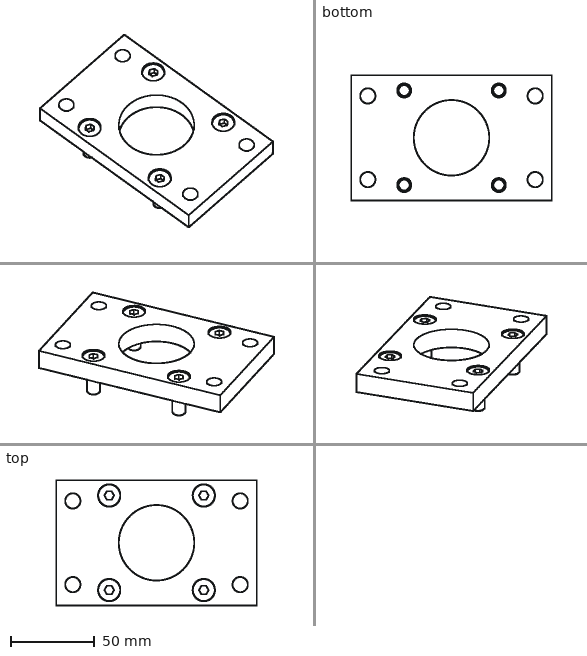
import cadquery as cq
import math

plate_length = 120.0
plate_width = 75.0
plate_thickness = 12.0
bore_diameter = 45.0

mounting_hole_diameter = 9.0
mounting_spacing_x = 100.0
mounting_spacing_y = 50.0

screw_spacing = 56.5
shank_diameter = 8.0
shank_length = 20.0
tip_chamfer = 0.77
head_diameter = 13.0
head_height = 5.0
head_fillet = 0.8
socket_across_flats = 5.0
socket_depth = 3.8
socket_cone_angle = 120.0

head_recess = 0.5
counterbore_diameter = 13.5
clearance_diameter = 8.5
counterbore_depth = head_height + head_recess


def make_plate():
    """Plate with the central bore, the mounting holes and the screw holes."""
    plate = cq.Workplane("XY").box(
        plate_length, plate_width, plate_thickness, centered=(True, True, False)
    )
    plate = plate.translate((0, 0, -plate_thickness))
    plate = plate.faces(">Z").workplane().hole(bore_diameter)
    plate = (
        plate.faces(">Z").workplane()
        .rarray(mounting_spacing_x, mounting_spacing_y, 2, 2)
        .hole(mounting_hole_diameter)
    )
    return (
        plate.faces(">Z").workplane()
        .rarray(screw_spacing, screw_spacing, 2, 2)
        .cboreHole(clearance_diameter, counterbore_diameter, counterbore_depth)
    )


def make_socket():
    """Hexagonal socket with a conical bottom, cut down from the head top."""
    corner_radius = socket_across_flats / 2 / math.cos(math.pi / 6)
    cone_height = corner_radius / math.tan(math.radians(socket_cone_angle / 2))
    drilled_bore = (
        cq.Workplane("XZ")
        .moveTo(0, -head_recess)
        .lineTo(corner_radius, -head_recess)
        .lineTo(corner_radius, -head_recess - socket_depth)
        .lineTo(0, -head_recess - socket_depth - cone_height)
        .close()
        .revolve(360, (0, 0), (0, 1))
    )
    hexagon = (
        cq.Workplane("XY").workplane(offset=-head_recess)
        .polygon(6, 2 * corner_radius)
        .extrude(-socket_depth - cone_height)
    )
    return hexagon.intersect(drilled_bore)


def make_screw():
    """Socket screw on the Z axis, with the head seated on the counterbore floor."""
    head = (
        cq.Workplane("XY").workplane(offset=-counterbore_depth)
        .circle(head_diameter / 2)
        .extrude(head_height)
        .faces(">Z").edges().fillet(head_fillet)
    )
    shank = (
        cq.Workplane("XY").workplane(offset=-counterbore_depth)
        .circle(shank_diameter / 2)
        .extrude(-shank_length)
        .faces("<Z").edges().chamfer(tip_chamfer)
    )
    return head.union(shank).cut(make_socket())


result = make_plate()
screw = make_screw()
for side_x in (-1, 1):
    for side_y in (-1, 1):
        screw_position = (side_x * screw_spacing / 2, side_y * screw_spacing / 2, 0)
        result = result.union(screw.translate(screw_position))